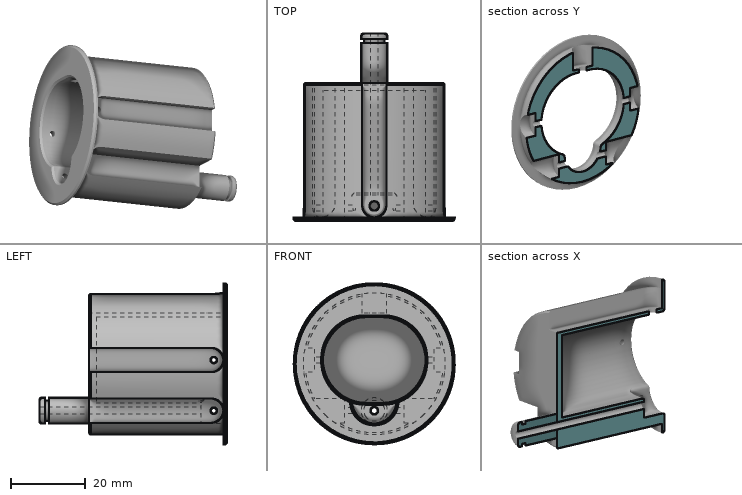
import cadquery as cq
TOTAL_LENGTH = 50.3
EDGE_CHAMFER = 0.5

FLANGE_DIAMETER = 43.15
FLANGE_THICKNESS = 1.0
HOUSING_LENGTH = 37.0
BARREL_DIAMETER = 38.05

CAVITY_WIDTH = 27.5
CAVITY_HEIGHT = 23.0
CAVITY_Z = 1.0
REAR_WALL = 2.0
CAVITY_DEPTH = HOUSING_LENGTH - REAR_WALL

NOTCH_RADIUS = 6.0
NOTCH_Z = -10.0
NOTCH_DEPTH = 7.0
NOTCH_CORNER_RADIUS = 1.0

EDGE_MARGIN = 0.5
LEDGE_MARGIN = 0.05
LEDGE_BAND_BELOW = 1.0
CORNER_BAND_ABOVE = 1.5

SLOT_WIDTH = 6.5
TOP_SLOT_FLOOR = 13.6
TOP_HOLE_DIAMETER = 2.5
TOP_HOLE_Y = 4.05
SIDE_SLOT_FLOOR = 16.0
LOWER_SLOT_FLOOR = 8.0
SIDE_HOLE_DIAMETER = 1.6
SIDE_HOLE_Y = 3.55

PIN_Z = -12.6
PIN_DIAMETER = 7.0
PIN_BORE_DIAMETER = 1.9
PIN_LENGTH = TOTAL_LENGTH - HOUSING_LENGTH
PIN_HEAD_LENGTH = 1.5
PIN_TIP_FILLET = 0.8
GROOVE_WIDTH = 1.0
GROOVE_DIAMETER = 5.6


def plane_at(y, z):
    """Cross-section plane at the given place, facing +Y, with its local Y axis along +Z."""
    return cq.Plane(origin=(0, y, z), xDir=(-1, 0, 0), normal=(0, 1, 0))


def make_barrel():
    """Flange and solid barrel, chamfered at the rear end."""
    flange = cq.Workplane(plane_at(0, 0)).circle(FLANGE_DIAMETER / 2).extrude(FLANGE_THICKNESS)
    barrel = cq.Workplane(plane_at(0, 0)).circle(BARREL_DIAMETER / 2).extrude(HOUSING_LENGTH)
    barrel = barrel.faces(">Y").edges().chamfer(EDGE_CHAMFER)
    return flange.union(barrel)


def make_cavity():
    """Space inside the housing: the main cavity joined with the notch."""
    main = cq.Workplane(plane_at(0, CAVITY_Z)).slot2D(CAVITY_WIDTH, CAVITY_HEIGHT).extrude(CAVITY_DEPTH)
    notch = cq.Workplane(plane_at(0, NOTCH_Z)).circle(NOTCH_RADIUS).extrude(NOTCH_DEPTH)
    return main.union(notch)


def hollow_housing():
    """Barrel with the cavity cut out and its edges eased."""
    body = make_barrel().cut(make_cavity())

    corner_box = cq.selectors.BoxSelector(
        (-NOTCH_RADIUS - EDGE_MARGIN, EDGE_MARGIN, NOTCH_Z - EDGE_MARGIN),
        (NOTCH_RADIUS + EDGE_MARGIN, NOTCH_DEPTH - EDGE_MARGIN, NOTCH_Z + CORNER_BAND_ABOVE),
    )
    body = body.edges(corner_box).fillet(NOTCH_CORNER_RADIUS)

    body = body.faces("<Y").edges().chamfer(EDGE_CHAMFER)

    ledge_box = cq.selectors.BoxSelector(
        (-NOTCH_RADIUS, NOTCH_DEPTH - LEDGE_MARGIN, NOTCH_Z - LEDGE_BAND_BELOW),
        (NOTCH_RADIUS, NOTCH_DEPTH + LEDGE_MARGIN, NOTCH_Z + CORNER_BAND_ABOVE),
    )
    return body.edges(ledge_box).chamfer(EDGE_CHAMFER)


def make_slot(floor, angle, z):
    """Slot cutter with a flat floor at the given distance from the axis.

    The slot opens toward +Z, is turned by the angle about Y and then raised to z.
    """
    end_radius = SLOT_WIDTH / 2
    end_y = FLANGE_THICKNESS + end_radius
    height = FLANGE_DIAMETER / 2 - floor
    slot = (
        cq.Workplane("XY", origin=(0, 0, floor))
        .moveTo(-end_radius, HOUSING_LENGTH)
        .lineTo(-end_radius, end_y)
        .threePointArc((0, FLANGE_THICKNESS), (end_radius, end_y))
        .lineTo(end_radius, HOUSING_LENGTH)
        .close()
        .extrude(height)
    )
    return slot.rotate((0, 0, 0), (0, 1, 0), angle).translate((0, 0, z))


def make_hole(diameter, start, direction, length):
    """Round cutter from a start point along a direction."""
    return cq.Workplane(cq.Solid.makeCylinder(diameter / 2, length, cq.Vector(*start), cq.Vector(*direction)))


def make_housing():
    """Flanged barrel with cavity, notch, outer slots and cross holes."""
    reach = FLANGE_DIAMETER / 2
    body = hollow_housing()

    body = body.cut(make_slot(TOP_SLOT_FLOOR, 0, 0))
    body = body.cut(make_hole(TOP_HOLE_DIAMETER, (0, TOP_HOLE_Y, 0), (0, 0, 1), reach))
    for z, floor in ((CAVITY_Z, SIDE_SLOT_FLOOR), (PIN_Z, LOWER_SLOT_FLOOR)):
        for angle in (-90, 90):
            body = body.cut(make_slot(floor, angle, z))
        body = body.cut(make_hole(SIDE_HOLE_DIAMETER, (-reach, SIDE_HOLE_Y, z), (1, 0, 0), 2 * reach))
    return body.cut(make_hole(PIN_BORE_DIAMETER, (0, 0, PIN_Z), (0, 1, 0), HOUSING_LENGTH))


def make_pin():
    """Hollow pin with a rounded tip and a retaining groove behind its head."""
    pin = cq.Workplane(plane_at(HOUSING_LENGTH, PIN_Z)).circle(PIN_DIAMETER / 2).extrude(PIN_LENGTH)
    pin = pin.faces(">Y").edges().fillet(PIN_TIP_FILLET)
    groove = (
        cq.Workplane(plane_at(TOTAL_LENGTH - PIN_HEAD_LENGTH - GROOVE_WIDTH, PIN_Z))
        .circle(PIN_DIAMETER / 2)
        .circle(GROOVE_DIAMETER / 2)
        .extrude(GROOVE_WIDTH)
    )
    bore = make_hole(PIN_BORE_DIAMETER, (0, HOUSING_LENGTH, PIN_Z), (0, 1, 0), PIN_LENGTH)
    return pin.cut(groove).cut(bore)


housing = make_housing()
pin = make_pin()
result = cq.Compound.makeCompound([housing.val(), pin.val()])